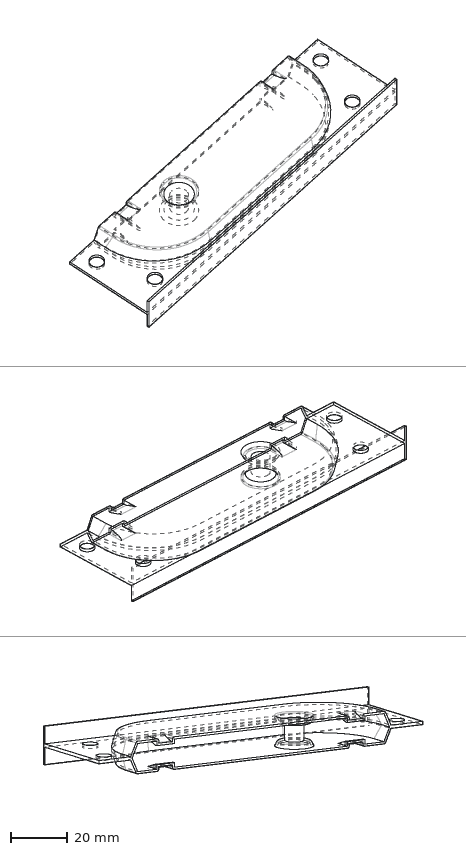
import cadquery as cq
import math

LENGTH = 136.0
WIDTH = 37.0
FLANGE_HEIGHT = 14.0
FLANGE_THICKNESS = 0.8
WEB_THICKNESS = 1.2

SHELL_HEIGHT = 11.8
WALL = 0.8
BEND_RADIUS = 0.8
CORNER_CENTER_Y = 28.3
MID_HALF_LENGTH = 55.0
MID_CORNER_X = 5.2
TOP_HALF_LENGTH = 52.2
TOP_CORNER_X = 7.0

HOLE_DIAMETER = 5.6
HOLE_POSITIONS = [(7.1, 61.5), (28.0, 54.1)]

DIMPLE_X = 11.0
DIMPLE_Y = -21.0
DIMPLE_DEPTH = 1.9
DIMPLE_FLOOR_RADIUS = 5.5
DIMPLE_TAPER = 30.0
POST_RADIUS = 3.4

NOTCH_Y = 40.0
NOTCH_WIDTH = 5.7
NOTCH_LENGTH = 6.1
NOTCH_FLAT = 1.1
NOTCH_DEPTH = 1.6

top_z = SHELL_HEIGHT / 2
inner_z = top_z - WALL
draft = math.atan((MID_HALF_LENGTH - TOP_HALF_LENGTH) / top_z)
wall_across = WALL / math.cos(draft)


def shell_outline(height, inset):
    """D-shaped wire at a given height, moved inwards by inset except at x = 0."""
    rise = height / top_z
    half_length = MID_HALF_LENGTH + rise * (TOP_HALF_LENGTH - MID_HALF_LENGTH) - inset
    corner_x = MID_CORNER_X + rise * (TOP_CORNER_X - MID_CORNER_X)
    radius = half_length - CORNER_CENTER_Y
    diagonal = radius * math.sqrt(0.5)
    side_x = corner_x + radius
    return (
        cq.Workplane("XY", origin=(0, 0, height))
        .moveTo(0, -half_length)
        .lineTo(corner_x, -half_length)
        .threePointArc((corner_x + diagonal, -CORNER_CENTER_Y - diagonal), (side_x, -CORNER_CENTER_Y))
        .lineTo(side_x, CORNER_CENTER_Y)
        .threePointArc((corner_x + diagonal, CORNER_CENTER_Y + diagonal), (corner_x, half_length))
        .lineTo(0, half_length)
        .close()
        .val()
    )


def tapered_block(height, inset):
    """Solid between the mid plane and height that follows the shell outline."""
    wires = [shell_outline(0, inset), shell_outline(height, inset)]
    return cq.Workplane(cq.Solid.makeLoft(wires, True))


def web_and_flange():
    """Upper half of the flat web and of the upright flange on its +X edge."""
    web = cq.Workplane("XY").box(WIDTH, LENGTH, WEB_THICKNESS / 2, centered=(False, True, False))
    flange = (
        cq.Workplane("XY", origin=(WIDTH - FLANGE_THICKNESS, 0, 0))
        .box(FLANGE_THICKNESS, LENGTH, FLANGE_HEIGHT / 2, centered=(False, True, False))
    )
    return web.union(flange)


def cone(floor_z, floor_radius, height):
    """Upright cone at the dimple centre that widens upwards from its floor."""
    rim_radius = floor_radius + height * math.tan(math.radians(DIMPLE_TAPER))
    return cq.Workplane(
        cq.Solid.makeCone(floor_radius, rim_radius, height, pnt=cq.Vector(DIMPLE_X, DIMPLE_Y, floor_z))
    )


def dimple_boss():
    """Rounded inner bulge of the dimple, one wall thickness outside its recess."""
    taper = math.radians(DIMPLE_TAPER)
    radius = DIMPLE_FLOOR_RADIUS + WALL / math.cos(taper) - WALL * math.tan(taper)
    return cone(inner_z - DIMPLE_DEPTH, radius, DIMPLE_DEPTH).faces("<Z").edges().fillet(BEND_RADIUS)


def ramp_prism(surface_z, width, center_y):
    """Prism under surface_z: flat at the open edge, then ramping up to the surface."""
    return (
        cq.Workplane("XZ", origin=(0, center_y + width / 2, 0))
        .moveTo(0, surface_z)
        .lineTo(0, surface_z - NOTCH_DEPTH)
        .lineTo(NOTCH_FLAT, surface_z - NOTCH_DEPTH)
        .lineTo(NOTCH_LENGTH, surface_z)
        .close()
        .extrude(width)
    )


def notch_recess(center_y):
    """Ramped recess whose two side walls flare out to the top with round shoulders."""
    half = NOTCH_WIDTH / 2
    rim = half + BEND_RADIUS
    shoulder = BEND_RADIUS * (1 - math.sqrt(0.5))
    flared_channel = (
        cq.Workplane("YZ", origin=(0, center_y, 0))
        .moveTo(-half, 0)
        .lineTo(half, 0)
        .lineTo(half, top_z - BEND_RADIUS)
        .threePointArc((half + shoulder, top_z - shoulder), (rim, top_z))
        .lineTo(-rim, top_z)
        .threePointArc((-half - shoulder, top_z - shoulder), (-half, top_z - BEND_RADIUS))
        .close()
        .extrude(NOTCH_LENGTH)
    )
    return ramp_prism(top_z, 2 * rim, center_y).intersect(flared_channel)


def upper_half():
    """Everything above the mid plane."""
    shell = tapered_block(top_z, 0).faces(">Z").edges("not(<X)").fillet(BEND_RADIUS)
    half = web_and_flange().union(shell).cut(tapered_block(inner_z, wall_across))

    half = half.union(dimple_boss())
    half = half.cut(cone(top_z - DIMPLE_DEPTH, DIMPLE_FLOOR_RADIUS, DIMPLE_DEPTH))
    rim_center = (DIMPLE_X, DIMPLE_Y, top_z)
    half = half.edges(cq.selectors.NearestToPointSelector(rim_center)).fillet(BEND_RADIUS)
    post = cq.Workplane("XY").center(DIMPLE_X, DIMPLE_Y).circle(POST_RADIUS).extrude(inner_z - DIMPLE_DEPTH)
    half = half.union(post)

    for center_y in (-NOTCH_Y, NOTCH_Y):
        half = half.union(ramp_prism(inner_z, NOTCH_WIDTH + 2 * WALL, center_y))
        half = half.cut(notch_recess(center_y))
    return half


def mounting_holes():
    """Through holes at both ends of the web."""
    centers = [(x, side * y) for x, y in HOLE_POSITIONS for side in (-1, 1)]
    return (
        cq.Workplane("XY", origin=(0, 0, -WEB_THICKNESS))
        .pushPoints(centers)
        .circle(HOLE_DIAMETER / 2)
        .extrude(2 * WEB_THICKNESS)
    )


upper = upper_half()
result = upper.union(upper.mirror("XY")).cut(mounting_holes())